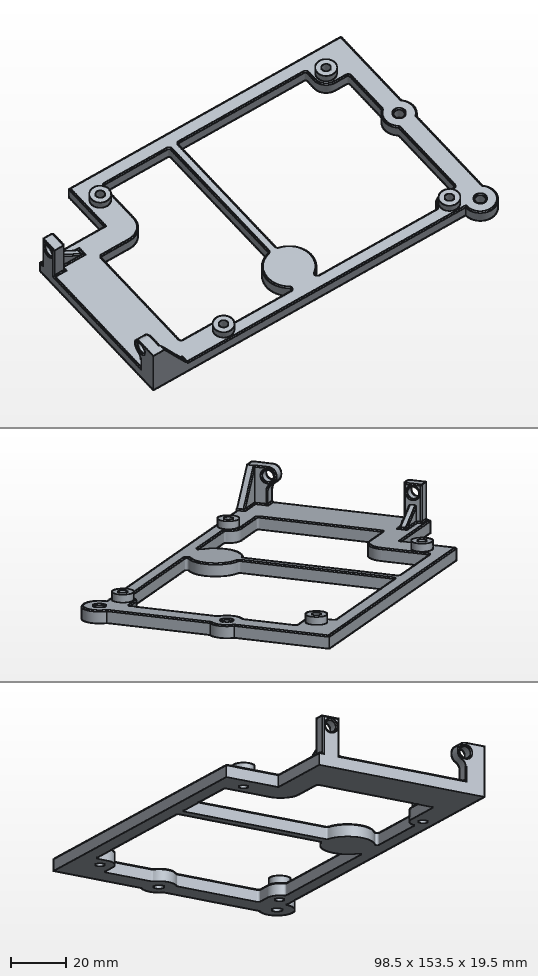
import cadquery as cq
import math

PLATE_THICKNESS = 5.0
PLATE_WIDTH = 92.0
PLATE_LENGTH = 151.5
EDGE_CHAMFER = 0.5

PAD_RADIUS = 5.0
FAR_LEFT_PAD_RADIUS = 5.4
BOSS_DIAMETER = 8.0
BOSS_HOLE_DIAMETER = 3.5
BOSS_HEIGHT = 3.0
BOSS_LEFT = 11.0
BOSS_RIGHT = PLATE_WIDTH - PAD_RADIUS
BOSS_NEAR = 35.2
BOSS_SPACING = 101.6
BOSS_FAR = BOSS_NEAR + BOSS_SPACING

STEP_X = 22.0
STEP_Y = 29.0
STEP_RAIL = 10.75
ELBOW_X = STEP_X + STEP_RAIL
ELBOW_Y = BOSS_NEAR + PAD_RADIUS
ELBOW_RADIUS = 7.635

WINDOW_LEFT = 6.0
RIGHT_RAIL = 5.5
WINDOW_RIGHT = PLATE_WIDTH - RIGHT_RAIL
WINDOW_BOTTOM = 19.5
WINDOW_TOP = 143.0
CORNER_RADIUS = 0.8
SMOOTH_JOINT = 0.01

DISC_X = 77.0
DISC_Y = 72.0
DISC_RADIUS = 10.0
BAR_Y = 71.85
BAR_WIDTH = 3.7

LUG_XS = (42.0, PLATE_WIDTH)
LUG_Y = 147.0
LUG_RADIUS = 6.53
LUG_HOLE_DIAMETER = 4.0

TOTAL_HEIGHT = 19.45
BRACKET_THICKNESS = 5.0
EYE_RADIUS = 3.5
EYE_Z = TOTAL_HEIGHT - EYE_RADIUS
EYE_HOLE_DIAMETER = 4.5
POST_INSET = 5.0
POST_X = STEP_X + POST_INSET
HOOK_WEB_WIDTH = 8.0
HOOK_X = PLATE_WIDTH - HOOK_WEB_WIDTH
HOOK_FILLET = 3.0
FOOT_FLARE = 0.5
RIB_WIDTH = 3.0
RIB_LENGTH = 10.0
RIB_END_Y = BRACKET_THICKNESS + RIB_LENGTH
POST_RIB_HEIGHT = 6.5
SLOPE_EDGES = "(not (|X or |Y or |Z))"


def box(x0, x1, y0, y1, height=PLATE_THICKNESS):
    """Block standing on the bottom plane between the given X and Y limits."""
    return cq.Workplane("XY").box(x1 - x0, y1 - y0, height, centered=False).translate((x0, y0, 0))


def disc(x, y, radius, height=PLATE_THICKNESS):
    """Upright cylinder standing on the bottom plane."""
    return cq.Workplane("XY").center(x, y).circle(radius).extrude(height)


def is_sharp(edge, faces):
    """True where the two faces that share the edge meet at an angle."""
    normals = [
        face.normalAt(edge.Center())
        for face in faces
        if any(edge.isSame(side) for side in face.Edges())
    ]
    return normals[0].cross(normals[1]).Length > SMOOTH_JOINT


def soften_corners(solid):
    """Round the upright edges of a solid that are not already smooth."""
    uprights = cq.Workplane(solid).edges("|Z").vals()
    corners = [edge for edge in uprights if is_sharp(edge, solid.Faces())]
    return solid.fillet(CORNER_RADIUS, corners)


def make_opening():
    """The two openings of the frame, with their sharp corners slightly rounded."""
    opening = box(WINDOW_LEFT, WINDOW_RIGHT, WINDOW_BOTTOM, WINDOW_TOP)
    elbow = box(0, ELBOW_X, 0, ELBOW_Y).edges("|Z and >X and >Y").fillet(ELBOW_RADIUS)
    opening = opening.cut(elbow)
    pad_right = BOSS_LEFT + FAR_LEFT_PAD_RADIUS
    left_pad = box(0, pad_right, BOSS_FAR - FAR_LEFT_PAD_RADIUS, PLATE_LENGTH)
    left_pad = left_pad.edges("|Z and >X and <Y").fillet(FAR_LEFT_PAD_RADIUS)
    opening = opening.cut(left_pad)
    pad_left = BOSS_RIGHT - PAD_RADIUS
    opening = opening.cut(box(pad_left, PLATE_WIDTH, BOSS_FAR, PLATE_LENGTH))
    opening = opening.cut(box(pad_left, PLATE_WIDTH, 0, BOSS_NEAR))
    for boss_y in (BOSS_NEAR, BOSS_FAR):
        opening = opening.cut(disc(BOSS_RIGHT, boss_y, PAD_RADIUS))
    bar = box(0, DISC_X, BAR_Y - BAR_WIDTH / 2, BAR_Y + BAR_WIDTH / 2)
    opening = opening.cut(bar).cut(disc(DISC_X, DISC_Y, DISC_RADIUS))
    opening = opening.cut(disc(LUG_XS[0], LUG_Y, LUG_RADIUS))
    rounded = [soften_corners(piece) for piece in opening.solids().vals()]
    return cq.Workplane("XY").newObject(rounded).combine()


def make_plate():
    """Frame with its openings, lugs and lug holes."""
    plate = box(0, PLATE_WIDTH, 0, PLATE_LENGTH).cut(box(0, STEP_X, 0, STEP_Y))
    for lug_x in LUG_XS:
        plate = plate.union(disc(lug_x, LUG_Y, LUG_RADIUS))
    plate = plate.cut(make_opening())
    for lug_x in LUG_XS:
        plate = plate.cut(disc(lug_x, LUG_Y, LUG_HOLE_DIAMETER / 2))
    return plate.faces(">Z").chamfer(EDGE_CHAMFER)


def add_bosses(part):
    """Put the four bosses on the plate and drill each one right through."""
    boss_top = PLATE_THICKNESS + BOSS_HEIGHT
    for x in (BOSS_LEFT, BOSS_RIGHT):
        for y in (BOSS_NEAR, BOSS_FAR):
            boss = disc(x, y, BOSS_DIAMETER / 2, BOSS_HEIGHT).translate((0, 0, PLATE_THICKNESS))
            part = part.union(boss).cut(disc(x, y, BOSS_HOLE_DIAMETER / 2, boss_top))
    return part


def make_foot(x0, x1, y1, sloped_sides):
    """Flare on the plate from x0 to x1 round an upright that reaches back to y1."""
    foot = box(x0, x1, EDGE_CHAMFER, y1 + FOOT_FLARE, PLATE_THICKNESS + FOOT_FLARE)
    return foot.faces(">Z").edges(sloped_sides).chamfer(FOOT_FLARE)


def make_rib(x0, height, sloped_edges):
    """Triangular rib behind a bracket, with the selected edges of its slope chamfered."""
    near = BRACKET_THICKNESS / 2
    profile = [
        (near, 0),
        (RIB_END_Y, 0),
        (RIB_END_Y, PLATE_THICKNESS),
        (BRACKET_THICKNESS, PLATE_THICKNESS + height),
        (near, PLATE_THICKNESS + height),
    ]
    rib = cq.Workplane("YZ", origin=(x0, 0, 0)).polyline(profile).close().extrude(RIB_WIDTH)
    return rib.edges(sloped_edges).chamfer(EDGE_CHAMFER)


def cut_eye(bracket, x):
    """Cross hole through a bracket, chamfered at both mouths."""
    radius = EYE_HOLE_DIAMETER / 2
    hole = cq.Workplane("XZ", origin=(x, 0, EYE_Z)).circle(radius).extrude(-BRACKET_THICKNESS)
    bracket = bracket.cut(hole)
    for y, inward in ((0, 1), (BRACKET_THICKNESS, -1)):
        mouth = cq.Solid.makeCone(
            radius + EDGE_CHAMFER,
            radius,
            EDGE_CHAMFER,
            pnt=cq.Vector(x, y, EYE_Z),
            dir=cq.Vector(0, inward, 0),
        )
        bracket = bracket.cut(cq.Workplane(mouth))
    return bracket


def make_post():
    """Square post with a low rib behind it and a flare round its base."""
    left = POST_X - EYE_RADIUS
    right = POST_X + EYE_RADIUS
    post = box(left, right, 0, BRACKET_THICKNESS, TOTAL_HEIGHT)
    post = post.faces("<Y or >Y").edges("|Z or >Z").chamfer(EDGE_CHAMFER)
    rib_left = POST_X - RIB_WIDTH / 2
    rib_right = POST_X + RIB_WIDTH / 2
    post = post.union(make_rib(rib_left, POST_RIB_HEIGHT, SLOPE_EDGES))
    flared = "<X or >X or >Y"
    post = post.union(make_foot(left - FOOT_FLARE, right + FOOT_FLARE, BRACKET_THICKNESS, flared))
    post = post.union(make_foot(rib_left - FOOT_FLARE, rib_right + FOOT_FLARE, RIB_END_Y, flared))
    return cut_eye(post, POST_X)


def make_hook():
    """Bracket flush with the right edge, its eye overhanging the web, with a full-height rib."""
    reach = EYE_RADIUS + HOOK_FILLET
    fillet_drop = math.sqrt(reach**2 - HOOK_FILLET**2)
    fillet_x = HOOK_X - HOOK_FILLET
    fillet_z = EYE_Z - fillet_drop
    join_x = HOOK_X - EYE_RADIUS * HOOK_FILLET / reach
    join_z = EYE_Z - EYE_RADIUS * fillet_drop / reach
    middle = math.atan2(fillet_drop, HOOK_FILLET) / 2
    fillet_middle = (
        fillet_x + HOOK_FILLET * math.cos(middle),
        fillet_z + HOOK_FILLET * math.sin(middle),
    )
    hook = (
        cq.Workplane("XZ")
        .moveTo(PLATE_WIDTH, 0)
        .lineTo(PLATE_WIDTH, TOTAL_HEIGHT)
        .lineTo(HOOK_X, TOTAL_HEIGHT)
        .threePointArc((HOOK_X - EYE_RADIUS, EYE_Z), (join_x, join_z))
        .threePointArc(fillet_middle, (HOOK_X, fillet_z))
        .lineTo(HOOK_X, 0)
        .close()
        .extrude(-BRACKET_THICKNESS)
    )
    hook = hook.faces(">Y").edges(">Z").chamfer(EDGE_CHAMFER)
    corner = [(HOOK_X, 0), (HOOK_X + EDGE_CHAMFER, 0), (HOOK_X, EDGE_CHAMFER)]
    hook = hook.cut(cq.Workplane("XY").polyline(corner).close().extrude(fillet_z))
    rib_left = PLATE_WIDTH - RIB_WIDTH
    rib_height = TOTAL_HEIGHT - PLATE_THICKNESS
    hook = hook.union(make_rib(rib_left, rib_height, SLOPE_EDGES + " and <X"))
    flared = "<X or >Y"
    hook = hook.union(make_foot(HOOK_X - FOOT_FLARE, PLATE_WIDTH, BRACKET_THICKNESS, flared))
    hook = hook.union(make_foot(rib_left - FOOT_FLARE, PLATE_WIDTH, RIB_END_Y, flared))
    return cut_eye(hook, HOOK_X)


result = add_bosses(make_plate()).union(make_post()).union(make_hook())